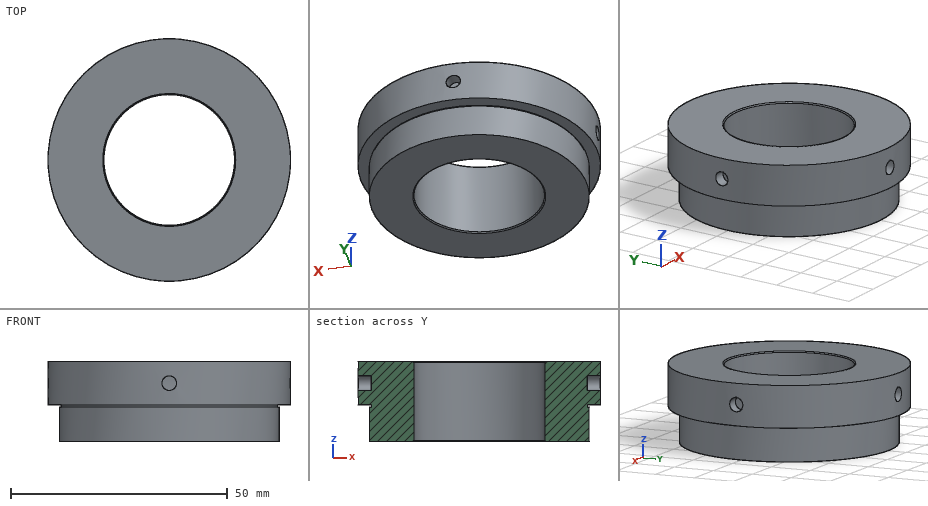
import cadquery as cq

flange_diameter = 56.0
flange_height = 10.0
neck_diameter = 50.0
neck_height = 0.5
spigot_diameter = 50.8
total_height = 18.5
bore_diameter = 30.1
bore_chamfer = 0.3

radial_hole_diameter = 3.35
radial_hole_count = 4
radial_hole_depth = 3.0

spigot_height = total_height - flange_height - neck_height
flange_bottom = spigot_height + neck_height


def cylinder(diameter, bottom, height):
    return cq.Workplane("XY").workplane(offset=bottom).circle(diameter / 2).extrude(height)


def radial_hole(angle):
    """Radial cutter from the curved hole floor out through the flange wall."""
    cutter = (
        cq.Workplane("YZ")
        .center(0, flange_bottom + flange_height / 2)
        .circle(radial_hole_diameter / 2)
        .extrude(flange_diameter)
    )
    floor_diameter = flange_diameter - 2 * radial_hole_depth
    cutter = cutter.cut(cylinder(floor_diameter, 0, total_height))
    return cutter.rotate((0, 0, 0), (0, 0, 1), angle)


body = cylinder(spigot_diameter, 0, spigot_height)
body = body.union(cylinder(neck_diameter, spigot_height, neck_height))
body = body.union(cylinder(flange_diameter, flange_bottom, flange_height))

body = body.cut(cylinder(bore_diameter, 0, total_height))
bore_rims = cq.selectors.RadiusNthSelector(0)
body = body.edges(bore_rims).chamfer(bore_chamfer)

for index in range(radial_hole_count):
    body = body.cut(radial_hole(index * 360 / radial_hole_count))

result = body